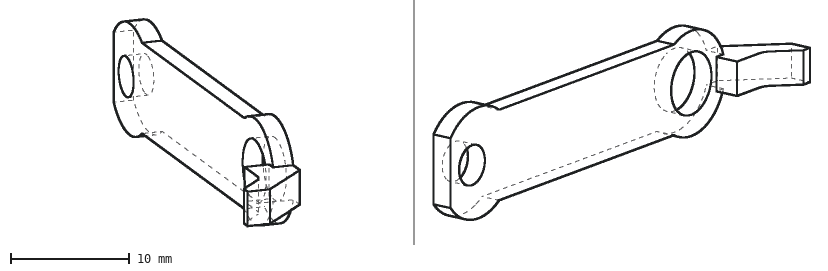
import cadquery as cq

overall_length = 43.3
plate_thickness = 1.8
arm_width = 7.95

head_diameter = 9.8
head_center_x = 3.8
head_hole_diameter = 3.5
head_hole_x = 2.95

ring_diameter = 9.25
ring_hole_diameter = 5.5
ring_center_x = 32.95

finger_width = 3.05
finger_start_x = 36.35
finger_root_depth = 4.03
finger_depth = 6.4
tip_flat = 0.9
slope_length = 4.4
bend_radius = 1.5


def plate_disc(diameter, center_x):
    """Disc with its axis along Y, from the rear face forward."""
    return cq.Workplane("XZ").center(center_x, 0).circle(diameter / 2).extrude(plate_thickness)


def make_plate():
    arm = (
        cq.Workplane("XZ")
        .center((head_center_x + ring_center_x) / 2, 0)
        .rect(ring_center_x - head_center_x, arm_width)
        .extrude(plate_thickness)
    )
    plate = arm.union(plate_disc(head_diameter, head_center_x))
    plate = plate.union(plate_disc(ring_diameter, ring_center_x))
    trim = cq.Workplane("XZ").rect(2 * overall_length, head_diameter).extrude(plate_thickness)
    return plate.intersect(trim.translate((overall_length, 0, 0)))


def make_finger():
    tip_start_x = overall_length - tip_flat
    bend_x = tip_start_x - (finger_depth - finger_root_depth)
    profile = [
        (finger_start_x, 0),
        (overall_length - slope_length, 0),
        (overall_length, -slope_length),
        (overall_length, -finger_depth),
        (tip_start_x, -finger_depth),
        (bend_x, -finger_root_depth),
        (finger_start_x, -finger_root_depth),
    ]
    finger = cq.Workplane("XY").polyline(profile).close().extrude(finger_width / 2, both=True)
    bend_edge = cq.selectors.NearestToPointSelector((bend_x, -finger_root_depth, 0))
    return finger.edges("|Z").edges(bend_edge).fillet(bend_radius)


result = make_plate().union(make_finger())
result = result.cut(plate_disc(head_hole_diameter, head_hole_x))
result = result.cut(plate_disc(ring_hole_diameter, ring_center_x))